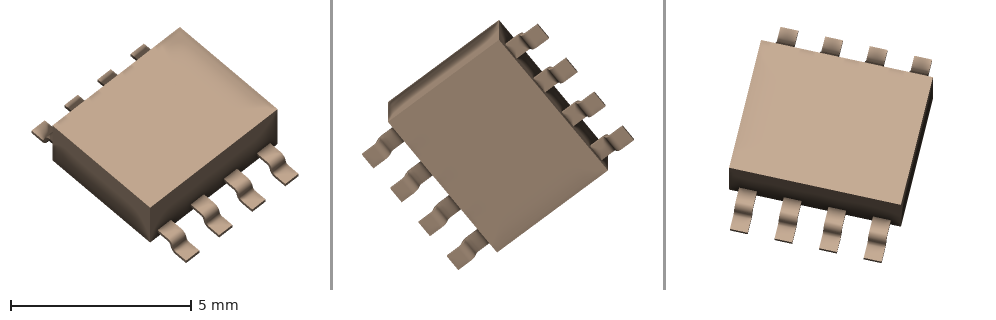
import cadquery as cq
import math

LEAD_SPAN = 6.2
BODY_LENGTH = 4.9
BODY_WIDTH = 3.92
TOTAL_HEIGHT = 1.75

LEADS_PER_SIDE = 4
LEAD_PITCH = 1.27
LEAD_WIDTH = 0.51
LEAD_THICKNESS = 0.11
FOOT_LENGTH = 0.4
SHOULDER_TOP = 0.43
BEND_INNER_RADIUS = 0.105
BEND_ANGLE = math.radians(75)

MARKER_DIAMETER = 0.2
MARKER_DEPTH = 0.1
MARKER_X = -1.265
MARKER_Y = 1.91

BODY_BOTTOM = LEAD_THICKNESS
BODY_HEIGHT = TOTAL_HEIGHT - BODY_BOTTOM


def make_marker():
    """Short disc whose top is level with the top of the housing."""
    return (
        cq.Workplane("XY", origin=(MARKER_X, MARKER_Y, TOTAL_HEIGHT - MARKER_DEPTH))
        .circle(MARKER_DIAMETER / 2)
        .extrude(MARKER_DEPTH)
    )


def make_housing(marker):
    """Plain block with a recess that fits the marker."""
    block = cq.Workplane("XY", origin=(0, 0, BODY_BOTTOM)).box(
        BODY_WIDTH, BODY_LENGTH, BODY_HEIGHT, centered=(True, True, False)
    )
    return block.cut(marker)


def make_lead():
    """Lead on the -X side at Y = 0: a strip swept along its S-shaped centre line."""
    toe_x = -LEAD_SPAN / 2
    foot_z = LEAD_THICKNESS / 2
    shoulder_z = SHOULDER_TOP - LEAD_THICKNESS / 2

    bend_radius = BEND_INNER_RADIUS + LEAD_THICKNESS / 2
    bend_run = bend_radius * math.sin(BEND_ANGLE)
    bend_rise = bend_radius * (1 - math.cos(BEND_ANGLE))

    slope_rise = shoulder_z - foot_z - 2 * bend_rise
    slope_run = slope_rise / math.tan(BEND_ANGLE)

    heel_x = toe_x + FOOT_LENGTH
    slope_start_x = heel_x + bend_run
    slope_end_x = slope_start_x + slope_run
    shoulder_x = slope_end_x + bend_run

    centre_line = (
        cq.Workplane("XZ")
        .moveTo(toe_x, foot_z)
        .lineTo(heel_x, foot_z)
        .tangentArcPoint((slope_start_x, foot_z + bend_rise), relative=False)
        .lineTo(slope_end_x, shoulder_z - bend_rise)
        .tangentArcPoint((shoulder_x, shoulder_z), relative=False)
        .lineTo(-BODY_WIDTH / 2, shoulder_z)
    )
    return (
        cq.Workplane("YZ", origin=(toe_x, 0, foot_z))
        .rect(LEAD_WIDTH, LEAD_THICKNESS)
        .sweep(centre_line)
    )


def make_leads():
    """Copies of one lead along both sides of the housing."""
    left_lead = make_lead()
    right_lead = left_lead.mirror("YZ")
    first_y = -LEAD_PITCH * (LEADS_PER_SIDE - 1) / 2
    leads = []
    for index in range(LEADS_PER_SIDE):
        offset = (0, first_y + index * LEAD_PITCH, 0)
        leads.append(left_lead.translate(offset).val())
        leads.append(right_lead.translate(offset).val())
    return leads


marker = make_marker()
housing = make_housing(marker)
leads = make_leads()

result = cq.Compound.makeCompound([housing.val(), marker.val(), *leads])